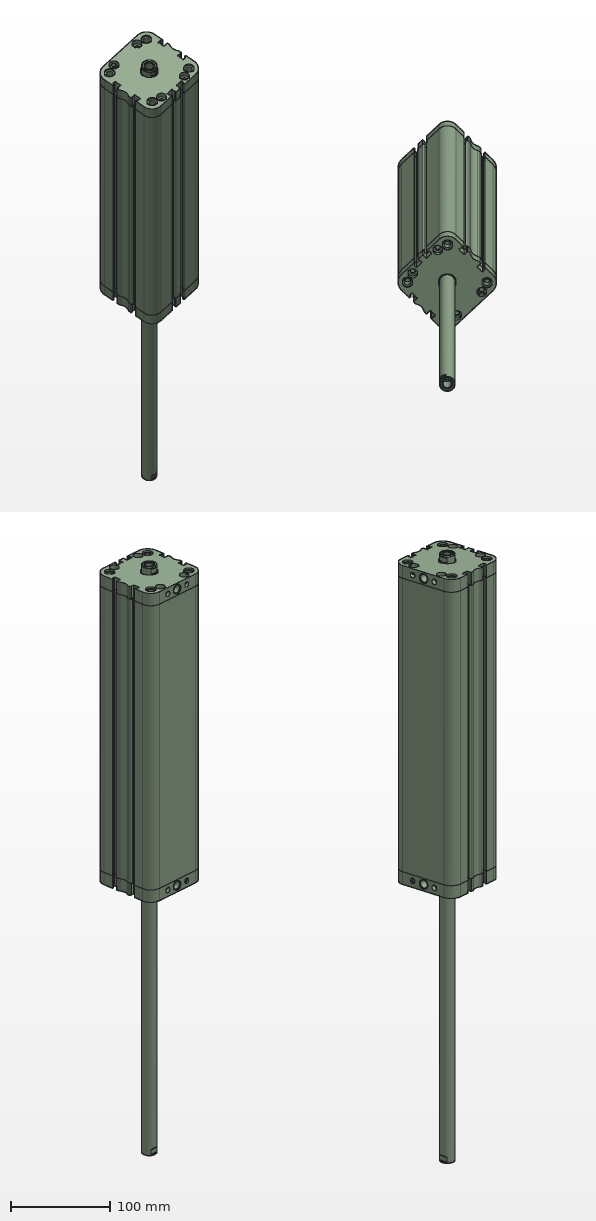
import cadquery as cq
import math

body_width = 77.0
body_length = 349.0
cover_length = 14.0
corner_radius = 12.0
barrel_length = body_length - 2 * cover_length
half_width = body_width / 2

slot_offset_y_faces = 13.0
slot_offset_x_face = 7.0
slot_mouth_width = 4.0
slot_chamber_width = 7.5
slot_lip_thickness = 1.8
slot_depth = 5.4
slot_lip_radius = 1.7

groove_radius = 10.0
groove_half_angle = math.radians(30)
groove_edge_radius = 4.0

rod_diameter = 16.0
rod_upper_end = 8.0
rod_lower_end = 308.0
rod_length = rod_lower_end + body_length + rod_upper_end
rod_chamfer = 1.0
rod_thread_diameter = 8.38
rod_thread_depth = 20.0
rod_thread_mouth_diameter = 10.5
rod_thread_mouth_depth = 1.0

flat_across = 13.0
flat_start = 2.0
flat_side_end = 6.8
flat_middle_end = 8.2

rod_recess_diameter = 18.0
rod_recess_depth = 1.5
mount_spacing = 56.5
mount_hole_diameter = 6.65
mount_hole_depth = 11.0
mount_mouth_diameter = 10.5
mount_mouth_depth = 2.0
screw_spacing_x = 63.0
screw_spacing_y = 35.4
screw_recess_diameter = 9.8
screw_recess_depth = 6.0
screw_socket_across = 5.0
screw_socket_depth = 3.0

port_height = 6.8
port_diameter = 8.57
port_depth = 12.0
port_mouth_diameter = 10.3
port_mouth_depth = 1.0
side_hole_spacing = 28.0
side_hole_diameter = 3.0
side_hole_depth = 8.0
side_hole_mouth_diameter = 5.6
side_hole_mouth_depth = 5.0


def make_block(length):
    """Square block with rounded upright edges, standing on z = 0."""
    block = cq.Workplane("XY").rect(body_width, body_width).extrude(length)
    return block.edges("|Z").fillet(corner_radius)


def make_slot(length, open_lip):
    """T-slot cutter sunk into the +Y face at x = 0, with its inner lip toward -X.

    The inner lip has a rounded edge; with open_lip the rounded part is cut away altogether.
    """
    lip_edge = -slot_mouth_width / 2
    lip_start = lip_edge - slot_lip_radius
    face = half_width
    chamber_height = slot_depth - slot_lip_thickness
    chamber_center = face - slot_lip_thickness - chamber_height / 2
    chamber = cq.Workplane("XY").center(0, chamber_center)
    chamber = chamber.rect(slot_chamber_width, chamber_height).extrude(length)

    mouth = cq.Workplane("XY").moveTo(lip_start, face)
    if open_lip:
        mouth = mouth.lineTo(lip_start, face - slot_lip_thickness)
    else:
        mouth = mouth.radiusArc((lip_edge, face - slot_lip_radius), slot_lip_radius)
        mouth = mouth.lineTo(lip_edge, face - slot_lip_thickness)
    mouth = mouth.lineTo(-lip_edge, face - slot_lip_thickness).lineTo(-lip_edge, face).close()
    return chamber.union(mouth.extrude(length))


def make_groove(length):
    """Cutter for the groove in the +Y face: a hollow arc running into rounded edges."""
    sine = math.sin(groove_half_angle)
    drop = 1 - math.cos(groove_half_angle)
    floor_x = groove_radius * sine
    edge_x = floor_x + groove_edge_radius * sine
    arc_end_y = half_width - groove_edge_radius * drop
    floor_y = arc_end_y - groove_radius * drop
    outline = (
        cq.Workplane("XY")
        .moveTo(-edge_x, half_width)
        .radiusArc((-floor_x, arc_end_y), groove_edge_radius)
        .threePointArc((0, floor_y), (floor_x, arc_end_y))
        .radiusArc((edge_x, half_width), groove_edge_radius)
        .close()
    )
    return outline.extrude(length)


def cut_profile(block, length, open_lip):
    """Cut the sensor slots and the grooves along the full length of a block."""
    slot = make_slot(length, open_lip)
    groove = make_groove(length)

    right_slot = slot.translate((slot_offset_y_faces, 0, 0))
    y_face = groove.union(right_slot).union(right_slot.mirror("YZ"))
    block = block.cut(y_face).cut(y_face.mirror("XZ"))

    upper_slot = slot.mirror("YZ").rotate((0, 0, 0), (0, 0, 1), -90)
    upper_slot = upper_slot.translate((0, slot_offset_x_face, 0))
    return block.cut(upper_slot).cut(upper_slot.mirror("XZ"))


def make_barrel():
    barrel = cut_profile(make_block(barrel_length), barrel_length, open_lip=False)
    rod_hole = cq.Workplane("XY").circle(rod_diameter / 2).extrude(barrel_length)
    return barrel.cut(rod_hole).translate((0, 0, cover_length))


def cut_end_holes(cover):
    """Rod hole, mounting holes and screw recesses, from the outer end of a cover."""
    def end_plane():
        return cover.faces(">Z").workplane(origin=(0, 0, 0))

    cover = end_plane().cboreHole(rod_diameter, rod_recess_diameter, rod_recess_depth)
    mounts = end_plane().rect(mount_spacing, mount_spacing, forConstruction=True).vertices()
    cover = mounts.cboreHole(mount_hole_diameter, mount_mouth_diameter, mount_mouth_depth, mount_hole_depth)
    screws = end_plane().rect(screw_spacing_x, screw_spacing_y, forConstruction=True).vertices()
    cover = screws.hole(screw_recess_diameter, screw_recess_depth)

    socket_corner_diameter = screw_socket_across / math.cos(math.pi / 6)
    sockets = (
        cq.Workplane("XY", origin=(0, 0, cover_length - screw_recess_depth))
        .rect(screw_spacing_x, screw_spacing_y, forConstruction=True)
        .vertices()
        .polygon(6, socket_corner_diameter)
        .extrude(-screw_socket_depth)
    )
    return cover.cut(sockets)


def cut_side_holes(cover):
    """Port and its two small neighbours, from the -X face of a cover."""
    side = cq.Workplane("YZ", origin=(-half_width, 0, port_height))
    neighbours = [(-side_hole_spacing / 2, 0), (side_hole_spacing / 2, 0)]
    holes = [
        ([(0, 0)], port_diameter, port_depth),
        ([(0, 0)], port_mouth_diameter, port_mouth_depth),
        (neighbours, side_hole_diameter, side_hole_depth),
        (neighbours, side_hole_mouth_diameter, side_hole_mouth_depth),
    ]
    for places, diameter, depth in holes:
        cover = cover.cut(side.pushPoints(places).circle(diameter / 2).extrude(depth))
    return cover


def make_cover():
    """Cover standing on z = 0, with its outer end upward."""
    cover = cut_profile(make_block(cover_length), cover_length, open_lip=True)
    return cut_side_holes(cut_end_holes(cover))


def make_flat_cutter():
    """Cutter for the flat on the +X side of the lower rod end, with an arched upper edge."""
    half_chord = math.sqrt(rod_diameter ** 2 - flat_across ** 2) / 2
    outline = (
        cq.Workplane("YZ", origin=(flat_across / 2, 0, 0))
        .moveTo(-half_chord, flat_start)
        .lineTo(half_chord, flat_start)
        .lineTo(half_chord, flat_side_end)
        .threePointArc((0, flat_middle_end), (-half_chord, flat_side_end))
        .close()
    )
    return outline.extrude(rod_diameter)


def make_rod():
    rod = cq.Workplane("XY").circle(rod_diameter / 2).extrude(rod_length)
    rod = rod.faces("<Z or >Z").chamfer(rod_chamfer)
    for end in ("<Z", ">Z"):
        rod = rod.faces(end).workplane(origin=(0, 0, 0)).cboreHole(
            rod_thread_diameter, rod_thread_mouth_diameter, rod_thread_mouth_depth, rod_thread_depth
        )
    right_flat = make_flat_cutter()
    for flat in (right_flat, right_flat.mirror("YZ")):
        rod = rod.cut(flat).cut(flat.mirror("XY").translate((0, 0, rod_length)))
    return rod.translate((0, 0, -rod_lower_end))


barrel = make_barrel()
cover = make_cover()
upper_cover = cover.translate((0, 0, body_length - cover_length))
lower_cover = cover.mirror("XY").translate((0, 0, cover_length))
piston_rod = make_rod()

result = cq.Compound.makeCompound([
    barrel.val(),
    upper_cover.val(),
    lower_cover.val(),
    piston_rod.val(),
])